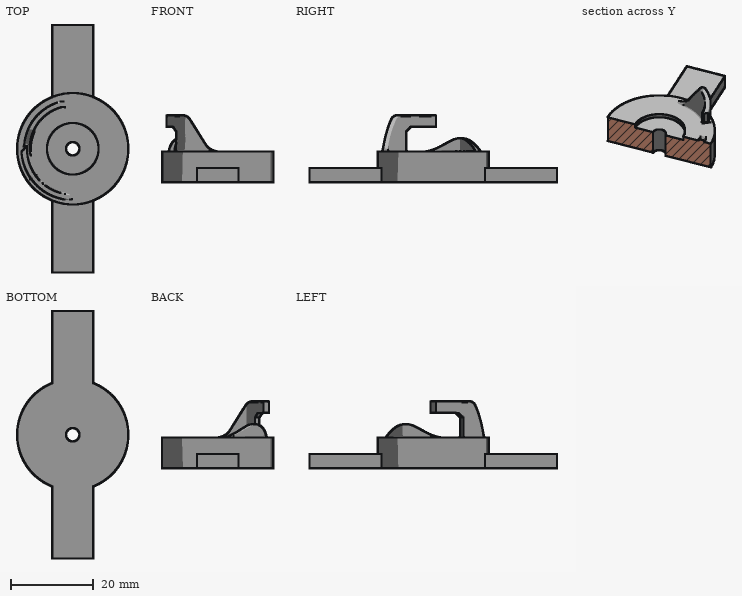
import cadquery as cq
import math

BODY_DIAMETER = 27.0
BODY_HEIGHT = 7.5
ARM_SPAN = 60.0
ARM_WIDTH = 10.0
ARM_HEIGHT = 3.5
RECESS_DIAMETER = 12.5
RECESS_DEPTH = 1.0
HOLE_DIAMETER = 3.2

WALL_THICKNESS = 1.35
HOOK_OUTER_RADIUS = 12.45
RAMP_OUTER_RADIUS = 11.8
WALL_FILLET = 0.3
WALL_ROOT = 0.5
TOLERANCE = 0.01
CLEARANCE = 1.0

HOOK_TOP = 16.25
HOOK_UNDERSIDE = 13.4
HOOK_LEG_ANGLE = 36.0
HOOK_CHAMFER_ANGLE = 29.3
HOOK_CHAMFER_HEIGHT = 1.15
HOOK_OPENING_START = 20.0
HOOK_TIP_OUTER_Y = -0.7
HOOK_TIP_INNER_Y = 0.7

CREST_START_X = -8.2
CREST_MID = (-7.3, 15.85)
SLOPE_TOP = (-6.6, 15.05)
SLOPE_FOOT = (-3.1, 9.5)
FOOT_MID = (-1.9, 8.15)
FOOT_END_X = -0.15

RAMP_PROFILE = [(-9.5, 0.0), (12.0, 1.45), (37.5, 3.2), (60.0, 1.7), (79.5, 0.0)]
RAMP_ROUNDED_DEPTH = WALL_THICKNESS / 2


def polar(radius, angle):
    """Point at an angle measured from -X toward +Y."""
    turn = math.radians(angle)
    return (-radius * math.cos(turn), radius * math.sin(turn))


def ring(outer_radius, height):
    """Full ring of wall thickness, rooted in the body."""
    return (
        cq.Workplane("XY", origin=(0, 0, BODY_HEIGHT - WALL_ROOT))
        .circle(outer_radius)
        .circle(outer_radius - WALL_THICKNESS)
        .extrude(height + WALL_ROOT)
    )


def make_body():
    arms = cq.Workplane("XY").box(ARM_WIDTH, ARM_SPAN, ARM_HEIGHT, centered=(True, True, False))
    return cq.Workplane("XY").circle(BODY_DIAMETER / 2).extrude(BODY_HEIGHT).union(arms)


def make_hook_wall():
    """Curved wall of the hook before its underside is opened."""
    reach = HOOK_OUTER_RADIUS + CLEARANCE
    root = BODY_HEIGHT - WALL_ROOT
    profile = (
        cq.Workplane("XZ", origin=(0, CLEARANCE, 0))
        .moveTo(-reach, root)
        .lineTo(-reach, HOOK_TOP)
        .lineTo(CREST_START_X, HOOK_TOP)
        .threePointArc(CREST_MID, SLOPE_TOP)
        .lineTo(*SLOPE_FOOT)
        .threePointArc(FOOT_MID, (FOOT_END_X, BODY_HEIGHT))
        .lineTo(FOOT_END_X, root)
        .close()
        .extrude(reach + CLEARANCE)
    )
    return ring(HOOK_OUTER_RADIUS, HOOK_TOP - BODY_HEIGHT).intersect(profile)


def make_ramp():
    """Curved wall whose crest rises and falls along the arc."""
    inner = RAMP_OUTER_RADIUS - WALL_THICKNESS - CLEARANCE
    outer = RAMP_OUTER_RADIUS + CLEARANCE

    def crest(radius):
        points = [cq.Vector(*polar(radius, a), BODY_HEIGHT + h) for a, h in RAMP_PROFILE]
        return cq.Edge.makeSpline(points)

    crest_face = cq.Face.makeRuledSurface(crest(inner), crest(outer))
    below = cq.Solid.extrudeLinear(crest_face, cq.Vector(0, 0, -BODY_HEIGHT))
    peak = max(h for _, h in RAMP_PROFILE)
    return ring(RAMP_OUTER_RADIUS, peak + CLEARANCE).intersect(cq.Workplane(below))


def is_rounded(edge, outer_radius, rounded_depth):
    """True for the foot edges of a wall, and for its top edges within a depth of its outside."""
    start = edge.startPoint()
    end = edge.endPoint()
    middle = edge.positionAt(0.5)
    if math.hypot(middle.x, middle.y) > outer_radius + TOLERANCE:
        return False
    if min(start.z, middle.z, end.z) < BODY_HEIGHT - TOLERANCE:
        return False
    at_foot = max(start.z, middle.z, end.z) < BODY_HEIGHT + TOLERANCE
    start_radius = math.hypot(start.x, start.y)
    follows_arc = abs(start_radius - math.hypot(end.x, end.y)) < TOLERANCE
    is_upright = math.hypot(start.x - end.x, start.y - end.y) < TOLERANCE
    in_depth = start_radius > outer_radius - rounded_depth - TOLERANCE
    return at_foot or (follows_arc and in_depth and not is_upright)


def add_wall(body, wall, outer_radius, rounded_depth):
    """Stand a wall on the body and round its foot and top edges."""
    part = body.union(wall)
    edges = [e for e in part.edges().vals() if is_rounded(e, outer_radius, rounded_depth)]
    return part.newObject(edges).fillet(WALL_FILLET)


def opening_section(angle, z):
    """Triangle from the part axis covering the ring from beyond the tip to an angle."""
    reach = 2 * HOOK_OUTER_RADIUS
    corners = [(0, 0), polar(reach, HOOK_OPENING_START), polar(reach, -angle)]
    return cq.Workplane("XY", origin=(0, 0, z)).polyline(corners).close()


def make_hook_opening():
    """Space under the hook, with a chamfer between the leg and the underside."""
    chamfer_z = HOOK_UNDERSIDE - HOOK_CHAMFER_HEIGHT
    below = opening_section(HOOK_LEG_ANGLE, BODY_HEIGHT).extrude(chamfer_z - BODY_HEIGHT)
    leg_wire = opening_section(HOOK_LEG_ANGLE, chamfer_z).val()
    underside_wire = opening_section(HOOK_CHAMFER_ANGLE, HOOK_UNDERSIDE).val()
    chamfered = cq.Solid.makeLoft([leg_wire, underside_wire], True)
    return below.union(cq.Workplane(chamfered))


def make_hook_tip_cut():
    """Everything beyond the slanted end face of the hook tip."""
    inner_radius = HOOK_OUTER_RADIUS - WALL_THICKNESS
    outer_x = -math.sqrt(HOOK_OUTER_RADIUS**2 - HOOK_TIP_OUTER_Y**2)
    inner_x = -math.sqrt(inner_radius**2 - HOOK_TIP_INNER_Y**2)
    run = inner_x - outer_x
    rise = HOOK_TIP_INNER_Y - HOOK_TIP_OUTER_Y
    end_top_y = HOOK_TIP_INNER_Y + rise
    corners = [
        (outer_x - run, HOOK_TIP_OUTER_Y - rise),
        (inner_x + run, end_top_y),
        (outer_x - run, end_top_y),
    ]
    return (
        cq.Workplane("XY", origin=(0, 0, BODY_HEIGHT))
        .polyline(corners)
        .close()
        .extrude(HOOK_TOP - BODY_HEIGHT)
    )


def make_center_cut():
    """Shallow round recess with a through hole."""
    hole = cq.Workplane("XY").circle(HOLE_DIAMETER / 2).extrude(BODY_HEIGHT)
    recess = (
        cq.Workplane("XY", origin=(0, 0, BODY_HEIGHT - RECESS_DEPTH))
        .circle(RECESS_DIAMETER / 2)
        .extrude(RECESS_DEPTH)
    )
    return hole.union(recess)


body = make_body()
with_hook = add_wall(body, make_hook_wall(), HOOK_OUTER_RADIUS, WALL_THICKNESS)
with_hook = with_hook.cut(make_hook_opening()).cut(make_hook_tip_cut())
with_ramp = add_wall(body, make_ramp(), RAMP_OUTER_RADIUS, RAMP_ROUNDED_DEPTH)
result = with_hook.union(with_ramp).cut(make_center_cut())